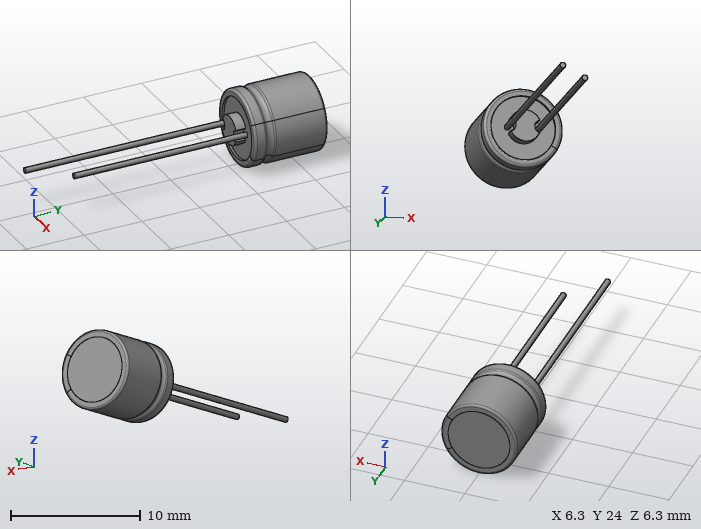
import cadquery as cq
import math


can_radius = 3.15
can_length = 6.3
lead_end_fillet = 0.22
rear_end_fillet = 0.17
core_radius = 2.57
core_recess = 0.2
stripe_angle = 60.0

groove_center = 1.4
groove_width = 0.72
groove_depth = 0.22
groove_edge_fillet = 0.2

total_length = 24.0
lead_radius = 0.225
lead_offset = 1.25
lead_length_difference = 3.0
long_lead_length = total_length - can_length
short_lead_length = long_lead_length - lead_length_difference

boss_radius = 1.25
boss_height = 0.67
notch_radius = 0.5


def cylinder(radius, y_start, y_end, x=0.0):
    """Cylinder along Y between two stations."""
    return (
        cq.Workplane("XZ", origin=(x, y_end, 0))
        .circle(radius)
        .extrude(y_end - y_start)
    )


def make_jacket():
    """Full ring around the core, with the crimp groove and rounded rims."""
    groove_start = groove_center - groove_width / 2
    groove_end = groove_center + groove_width / 2
    can = (
        cq.Workplane("XY")
        .lineTo(can_radius, 0)
        .lineTo(can_radius, groove_start)
        .threePointArc((can_radius - groove_depth, groove_center), (can_radius, groove_end))
        .lineTo(can_radius, can_length)
        .lineTo(0, can_length)
        .close()
        .revolve(360, (0, 0, 0), (0, 1, 0))
    )
    groove_edges = cq.selectors.BoxSelector(
        (-can_radius, groove_start - groove_depth, -can_radius),
        (can_radius, groove_end + groove_depth, can_radius),
    )
    can = can.edges("%CIRCLE").edges(groove_edges).fillet(groove_edge_fillet)
    can = can.faces("<Y").edges().fillet(lead_end_fillet)
    can = can.faces(">Y").edges().fillet(rear_end_fillet)
    return can.cut(cylinder(core_radius, 0, can_length))


def make_stripe_wedge():
    """Wedge centered on +X that separates the stripe from the sleeve."""
    half_angle = math.radians(stripe_angle / 2)
    reach = 2 * can_radius
    corner_x = reach * math.cos(half_angle)
    corner_z = reach * math.sin(half_angle)
    return (
        cq.Workplane("XZ", origin=(0, can_length, 0))
        .polyline([(0, 0), (corner_x, -corner_z), (corner_x, corner_z)])
        .close()
        .extrude(can_length)
    )


def make_core():
    """Core set back inside the lead-end rim, with its notched boss."""
    core = cylinder(core_radius, core_recess, can_length)
    boss = cylinder(boss_radius, -boss_height, core_recess)
    for side in (-1, 1):
        boss = boss.cut(cylinder(notch_radius, -boss_height, core_recess, side * lead_offset))
    return core.union(boss)


def make_lead(x, length):
    """Round lead starting on the core face and ending beyond the can."""
    return cylinder(lead_radius, -length, core_recess, x)


jacket = make_jacket()
stripe_wedge = make_stripe_wedge()
sleeve = jacket.cut(stripe_wedge)
stripe = jacket.intersect(stripe_wedge)
core = make_core()
leads = [
    make_lead(x, length)
    for x, length in ((-lead_offset, long_lead_length), (lead_offset, short_lead_length))
]

result = cq.Compound.makeCompound(
    [sleeve.val(), stripe.val(), core.val(), *[lead.val() for lead in leads]]
)